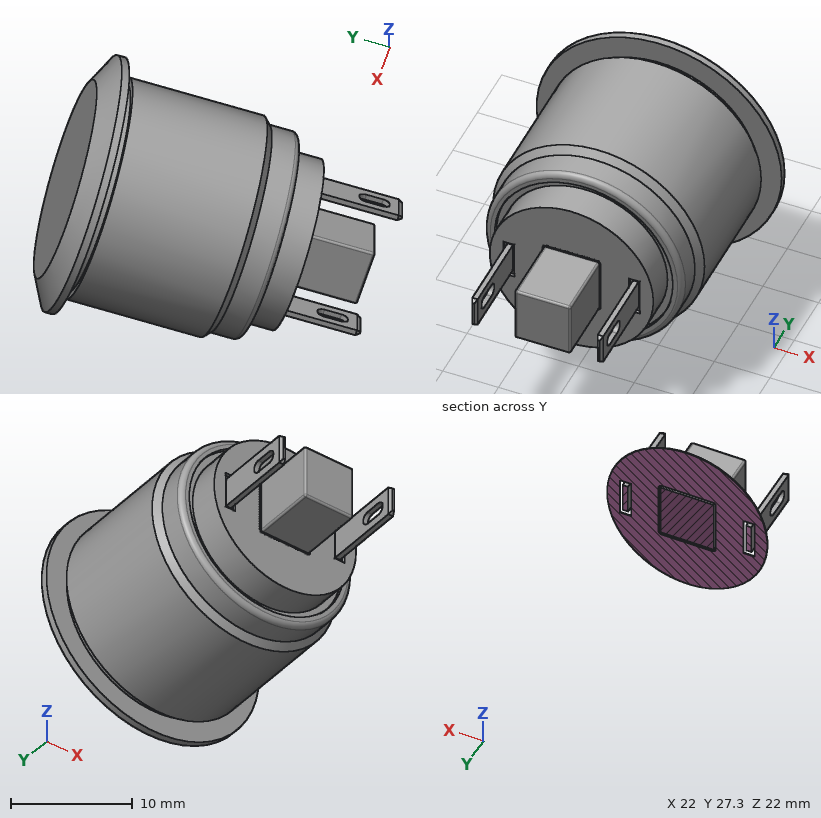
import cadquery as cq

bezel_diameter = 22.0
bezel_face_diameter = 17.04
bezel_slope_y = -1.36
bezel_back_y = -2.02
neck_diameter = 17.8
barrel_diameter = 19.0
barrel_front_y = -2.78
barrel_end_y = -15.02
barrel_chamfer = (barrel_diameter - neck_diameter) / 2
housing_end_y = -17.5
housing_fillet = 0.5

bore_diameter = 16.0
insert_recess = 0.4
shoulder_y = housing_end_y + insert_recess
boss_diameter = 14.7
boss_end_y = -20.0
insert_front_y = barrel_end_y

block_width = 5.0
block_height = 5.2
block_end_y = -26.0
block_fillet = 0.2
block_clearance = 0.1
block_recess_depth = 0.1
block_foot_y = boss_end_y + block_recess_depth

terminal_spacing = 11.27
terminal_thickness = 0.5
terminal_width = 2.8
terminal_end_y = -27.3
tip_length = 0.35
tip_thickness = 0.2
tip_width = 2.32
eyelet_width = 1.2
eyelet_length = 2.65
eyelet_center_y = -24.85
slot_width = 1.0
slot_height = 3.55

pocket_depth = 0.3
pocket_floor_y = boss_end_y + pocket_depth


def disc(diameter, front_y, end_y):
    """Cylinder on the switch axis between two Y positions."""
    plane = cq.Workplane("XZ", origin=(0, front_y, 0))
    return plane.circle(diameter / 2).extrude(front_y - end_y)


def bar(x, size_x, size_z, front_y, end_y):
    """Rectangular bar along Y, centered on Z = 0 at the given X."""
    plane = cq.Workplane("XZ", origin=(x, front_y, 0))
    return plane.rect(size_x, size_z).extrude(front_y - end_y)


def make_housing():
    """Turned body: sloped bezel, neck, chamfered barrel, rounded rear rim and bore."""
    neck_radius = neck_diameter / 2
    profile = [
        (0, 0),
        (bezel_face_diameter / 2, 0),
        (bezel_diameter / 2, bezel_slope_y),
        (bezel_diameter / 2, bezel_back_y),
        (neck_radius, bezel_back_y),
        (neck_radius, barrel_front_y),
        (barrel_diameter / 2, barrel_front_y),
        (barrel_diameter / 2, barrel_end_y + barrel_chamfer),
        (neck_radius, barrel_end_y),
        (neck_radius, housing_end_y),
        (0, housing_end_y),
    ]
    body = cq.Workplane("XY").polyline(profile).close().revolve(360, (0, 0, 0), (0, 1, 0))
    body = body.faces("<Y").edges().fillet(housing_fillet)
    return body.cut(disc(bore_diameter, insert_front_y, housing_end_y))


def make_block_recess():
    """Volume of the round-cornered recess around the foot of the block."""
    recess = bar(
        0,
        block_width + 2 * block_clearance,
        block_height + 2 * block_clearance,
        block_foot_y,
        boss_end_y,
    )
    return recess.edges("|Y").fillet(block_fillet + block_clearance)


def make_insert():
    """Stepped base disc with a recess for the block and a pocket for each terminal."""
    body = disc(bore_diameter, insert_front_y, shoulder_y)
    body = body.union(disc(boss_diameter, shoulder_y, boss_end_y))
    body = body.cut(make_block_recess())
    for side in (-1, 1):
        x = side * terminal_spacing / 2
        body = body.cut(bar(x, slot_width, slot_height, pocket_floor_y, boss_end_y))
    return body


def make_block():
    """Connector block with every edge rounded."""
    body = bar(0, block_width, block_height, block_foot_y, block_end_y)
    return body.edges().fillet(block_fillet)


def make_terminal(x):
    """Flat blade with a tapered tip and an oblong eyelet."""
    blade_end_y = terminal_end_y + tip_length
    blade = bar(x, terminal_thickness, terminal_width, pocket_floor_y, blade_end_y)
    tip = (
        cq.Workplane("XZ", origin=(x, blade_end_y, 0))
        .rect(terminal_thickness, terminal_width)
        .workplane(offset=tip_length)
        .rect(tip_thickness, tip_width)
        .loft(ruled=True)
    )
    eyelet = (
        cq.Workplane("YZ", origin=(x, eyelet_center_y, 0))
        .slot2D(eyelet_length, eyelet_width)
        .extrude(terminal_thickness, both=True)
    )
    return blade.union(tip).cut(eyelet)


housing = make_housing()
insert = make_insert()
block = make_block()
terminals = [make_terminal(side * terminal_spacing / 2) for side in (-1, 1)]

result = cq.Compound.makeCompound(
    [housing.val(), insert.val(), block.val(), *[terminal.val() for terminal in terminals]]
)